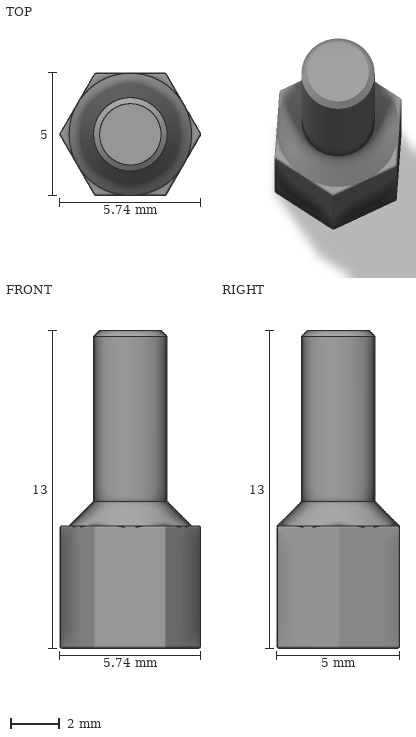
import cadquery as cq
import math

total_height = 13.0
across_flats = 5.0
hex_height = 5.0
shoulder_height = 1.0
pin_diameter = 3.0
pin_chamfer = 0.25
edge_radius = 0.1

across_corners = across_flats / math.cos(math.radians(30))
shoulder_top = hex_height + shoulder_height
pin_radius = pin_diameter / 2
shoulder_radius = pin_radius + shoulder_height


def hex_base():
    """Hexagonal body with corners on the X axis and every edge rounded."""
    body = cq.Workplane("XY").polygon(6, across_corners).extrude(hex_height)
    return body.edges().fillet(edge_radius)


def shoulder_and_pin():
    """Conical shoulder rising from the hexagon into a pin with a chamfered tip."""
    profile = (
        cq.Workplane("XZ")
        .moveTo(0, hex_height - edge_radius)
        .lineTo(shoulder_radius, hex_height - edge_radius)
        .lineTo(shoulder_radius, hex_height)
        .lineTo(pin_radius, shoulder_top)
        .lineTo(pin_radius, total_height - pin_chamfer)
        .lineTo(pin_radius - pin_chamfer, total_height)
        .lineTo(0, total_height)
        .close()
    )
    return profile.revolve(360, (0, 0, 0), (0, 1, 0))


result = hex_base().union(shoulder_and_pin())